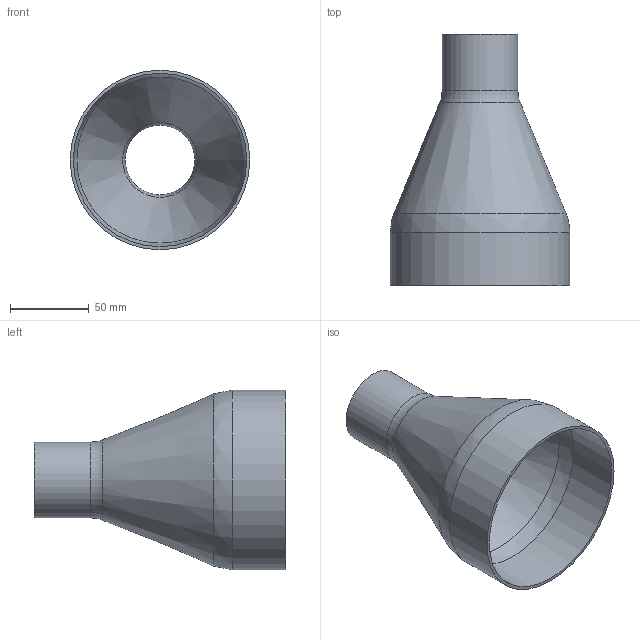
import cadquery as cq
import math

large_diameter = 114.3
small_diameter = 48.3
wall = 2.0
total_length = 160.0
large_collar_length = 34.0
small_collar_length = 36.0
large_bend_radius = 31.0
small_bend_radius = 20.0

large_radius = large_diameter / 2
small_radius = small_diameter / 2
large_bend_start = large_collar_length
small_bend_end = total_length - small_collar_length

centre_run = small_bend_end - large_bend_start
large_centre_radius = large_radius - large_bend_radius
small_centre_radius = small_radius + small_bend_radius
centre_rise = small_centre_radius - large_centre_radius
centre_distance = math.hypot(centre_run, centre_rise)
tangent_tilt = math.asin((large_bend_radius + small_bend_radius) / centre_distance)
cone_angle = tangent_tilt - math.atan2(centre_rise, centre_run)


def bend_point(centre, radius, angle):
    """Point on a bend: a positive radius is convex outward, a negative one is concave."""
    centre_r, centre_y = centre
    return (centre_r + radius * math.cos(angle), centre_y + radius * math.sin(angle))


def body(inset):
    """Solid of revolution bounded by the outer surface moved inward by inset."""
    large_centre = (large_centre_radius, large_bend_start)
    small_centre = (small_centre_radius, small_bend_end)
    large_bend = large_bend_radius - inset
    small_bend = -(small_bend_radius + inset)
    return (
        cq.Workplane("XY")
        .lineTo(large_radius - inset, 0)
        .lineTo(*bend_point(large_centre, large_bend, 0))
        .threePointArc(
            bend_point(large_centre, large_bend, cone_angle / 2),
            bend_point(large_centre, large_bend, cone_angle),
        )
        .lineTo(*bend_point(small_centre, small_bend, cone_angle))
        .threePointArc(
            bend_point(small_centre, small_bend, cone_angle / 2),
            bend_point(small_centre, small_bend, 0),
        )
        .lineTo(small_radius - inset, total_length)
        .lineTo(0, total_length)
        .close()
        .revolve(360, (0, 0, 0), (0, 1, 0))
    )


result = body(0).cut(body(wall))